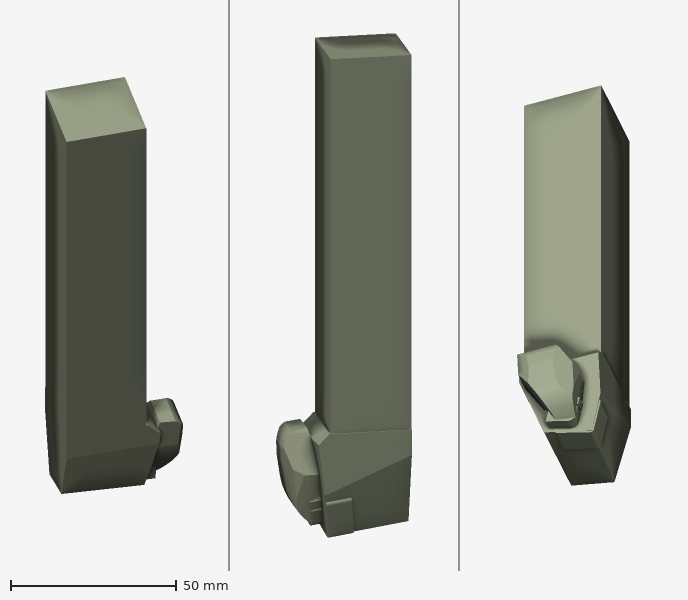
import cadquery as cq
import math

total_length = 151.3
shank_size = 25.0
head_step = 0.5
head_width = shank_size + head_step
head_top = 33.6
head_chamfer_start = 25.4
head_depth = 33.3
taper_top = 25.7
taper_slope = 0.33
clearance = 75.6

insert_side = 12.7
insert_thickness = 8.0
insert_radius = 1.2
insert_overhang = 0.6
insert_corner = (3.0, 25.1, -0.24)
lead_angle = math.radians(14)
side_tilt = 0.073
back_tilt = 0.119

rake_point = (0, 26.9, 14.7)
rake_side_tilt = 0.033

clamp_tip = 3.5
clamp_top = 32.2
clamp_under = 29.3
clamp_back = 38.0
clamp_rear_left = 12.4
clamp_corner_radius = 2.3
pad_lead_inset = 1.7
pad_end_inset = 5.5
pad_side = 9.0
pad_thickness = 3.6
pad_radius = 2.3
pad_notch_width = 0.8
pad_notch_depth = 1.2
pad_notch_position = 5.7


def tilted_plane(origin, side, back):
    """Plane facing +Y with local x along the lead edge and local y across the end edge."""
    sine = math.sin(lead_angle)
    cosine = math.cos(lead_angle)
    lead_edge = (-sine, back * cosine - side * sine, cosine)
    return cq.Plane(origin=origin, xDir=lead_edge, normal=(-side, 1, -back))


insert_plane = tilted_plane(insert_corner, side_tilt, back_tilt)
rake_plane = tilted_plane(rake_point, rake_side_tilt, back_tilt)


def make_insert():
    plate = cq.Workplane(insert_plane).rect(insert_side, insert_side, centered=False).extrude(-insert_thickness)
    return plate.edges(cq.selectors.ParallelDirSelector(insert_plane.zDir)).fillet(insert_radius)


def make_shank():
    return cq.Workplane("XY", origin=(head_step, 0, head_top)).box(
        shank_size, shank_size, total_length - head_top, centered=False
    )


def make_head():
    chamfer_drop = head_depth - head_chamfer_start
    head = (
        cq.Workplane("YZ")
        .polyline([
            (0, -clearance),
            (head_depth, -clearance),
            (head_depth, head_top - chamfer_drop),
            (head_chamfer_start, head_top),
            (0, head_top),
        ])
        .close()
        .extrude(head_width)
    )
    taper = (
        cq.Workplane("XZ")
        .polyline([
            (head_width, taper_top),
            (head_width, taper_top - clearance),
            (head_width - taper_slope * clearance, taper_top - clearance),
        ])
        .close()
        .extrude(-head_depth)
    )
    relief = (
        cq.Workplane(insert_plane)
        .center(insert_overhang, insert_overhang)
        .rect(clearance, clearance, centered=False)
        .extrude(clearance, both=True)
    )
    rake_cut = cq.Workplane(rake_plane).rect(2 * clearance, 2 * clearance).extrude(clearance)
    return head.cut(taper).intersect(relief).cut(rake_cut)


def make_clamp():
    profile = (
        cq.Workplane("YZ")
        .moveTo(clamp_under, clamp_tip)
        .threePointArc((33.6, 7.5), (36.5, 13.3))
        .lineTo(clamp_back, 22.7)
        .lineTo(clamp_back, 26.8)
        .threePointArc((36.9, 29.3), (34.6, 31.6))
        .lineTo(29.8, clamp_top)
        .lineTo(28.3, 28.0)
        .lineTo(26.5, 12.9)
        .lineTo(clamp_under, 12.1)
        .close()
        .extrude(head_width)
    )
    outline = (
        cq.Workplane("XZ")
        .polyline([
            (7.1, clamp_tip),
            (4.8, 19.7),
            (clamp_rear_left, clamp_top),
            (23.6, clamp_top),
            (23.6, 22.7),
            (12.9, clamp_tip),
        ])
        .close()
        .extrude(-clearance)
        .edges(cq.selectors.NearestToPointSelector((clamp_rear_left, clearance / 2, clamp_top)))
        .fillet(clamp_corner_radius)
    )
    crown_path = cq.Workplane("YZ").lineTo(back_tilt * head_top, head_top)
    crown = (
        cq.Workplane("XY")
        .polyline([
            (3.8, 22.7),
            (4.8, 29.8),
            (5.9, 33.0),
            (11.5, 35.2),
            (19.2, 35.2),
            (23.5, 32.7),
            (23.6, 22.7),
        ])
        .close()
        .sweep(crown_path)
    )
    return profile.intersect(outline).intersect(crown)


def make_pad():
    pad = (
        cq.Workplane(insert_plane)
        .center(pad_lead_inset, pad_end_inset)
        .rect(pad_side, pad_side, centered=False)
        .extrude(pad_thickness)
        .edges(cq.selectors.NearestToPointSelector(
            insert_plane.toWorldCoords((pad_lead_inset, pad_end_inset, pad_thickness / 2))
        ))
        .fillet(pad_radius)
    )
    notch = (
        cq.Workplane(insert_plane)
        .center(pad_lead_inset + pad_notch_position, pad_end_inset)
        .rect(pad_notch_width, pad_notch_depth, centered=False)
        .extrude(pad_thickness)
    )
    return pad.cut(notch)


insert = make_insert()
holder = make_shank().union(make_head()).union(make_clamp()).union(make_pad()).cut(insert)

result = cq.Compound.makeCompound([holder.val(), insert.val()])